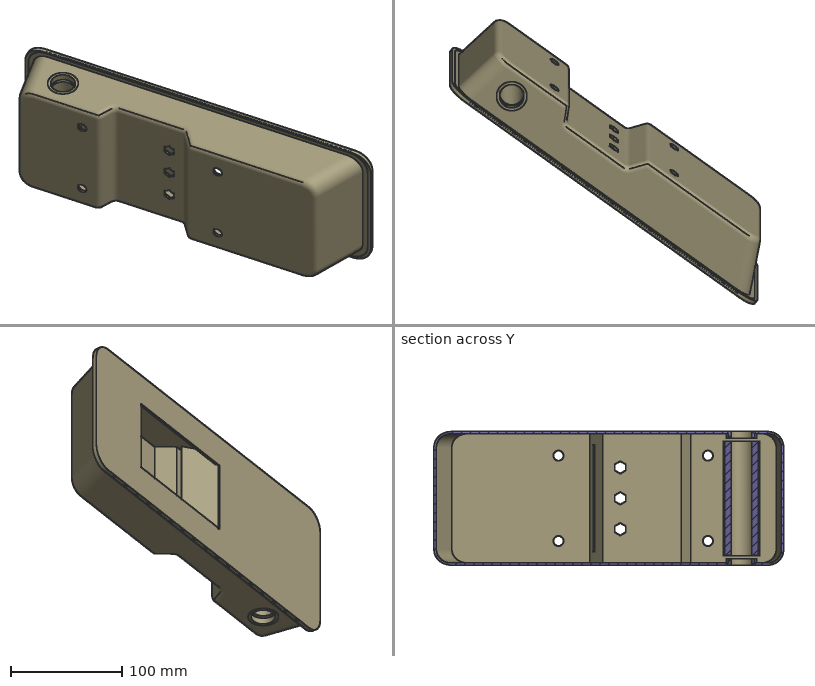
import cadquery as cq
import math

length = 343.0
height = 132.0
depth = 52.0
corner_radius = 18.0

cover_thickness = 2.0
rim_depth = 4.0
rim_width_x = 3.0
rim_width_z = 1.0

window_left = -17.0
window_right = 103.0
window_half_height = 34.5
tab_angle = 37.0
tab_length = 34.3
tab_half_height = 48.0

wall = 2.5
flange_front = 3.5
tub_half_height = 60.5
tub_corner_radius = 14.5
front_radius = 6.0
step_radius = 6.0
left_front = -156.0
right_front = 139.3
left_lean = 9.2
right_lean = 26.2

pocket_depth = 16.0
pocket_left = -75.8
pocket_right = 12.7
pocket_left_slope = 62.0
pocket_right_slope = 53.3

mount_hole_radius = 4.5
mount_hole_x = (-92.5, 42.0)
mount_hole_z = 38.5
hex_hole_diameter = 11.0
hex_hole_x = -13.7
hex_hole_pitch = 27.8

passage_x = -122.8
passage_y = -28.0
passage_radius = 11.0
bushing_radius = 13.7
bushing_length = 6.2
sleeve_radius = 16.5
sleeve_half_length = 51.5

front_y = -depth
pocket_y = front_y + pocket_depth
flange_thickness = flange_front - cover_thickness


def tub_outline(back_y):
    """Closed section of the tub in XY, with leaning end walls that reach back_y."""
    wall_run = back_y - front_y
    left_run = pocket_depth / math.tan(math.radians(pocket_left_slope))
    right_run = pocket_depth / math.tan(math.radians(pocket_right_slope))
    return cq.Workplane("XY").polyline([
        (left_front - wall_run * math.tan(math.radians(left_lean)), back_y),
        (left_front, front_y),
        (pocket_left, front_y),
        (pocket_left + left_run, pocket_y),
        (pocket_right - right_run, pocket_y),
        (pocket_right, front_y),
        (right_front, front_y),
        (right_front + wall_run * math.tan(math.radians(right_lean)), back_y),
    ]).close()


def round_end_walls(tub, radius):
    """Round the four leaning edges where the end walls meet the long sides."""
    end_edges = [
        edge for edge in tub.edges("not(|X or |Z)").vals()
        if not pocket_left <= edge.Center().x <= pocket_right
    ]
    return tub.newObject(end_edges).fillet(radius)


def make_tub_outside():
    """Solid outer form of the tub with all its rounded edges."""
    tub = tub_outline(0).extrude(tub_half_height, both=True)
    tub = round_end_walls(tub, tub_corner_radius)
    step_edges = [
        edge for edge in tub.edges("|Z").vals()
        if pocket_left - wall <= edge.Center().x <= pocket_right + wall
    ]
    tub = tub.newObject(step_edges).fillet(step_radius)
    return tub.faces("<Y").edges("|X and >Z").fillet(front_radius)


def make_tub_inside():
    """Cavity of the tub, one wall thickness inside it, with a sharp front edge."""
    section = tub_outline(wall).offset2D(-wall, "intersection")
    cavity = section.extrude(tub_half_height - wall, both=True)
    return round_end_walls(cavity, tub_corner_radius - wall)


def rounded_plate(size_x, size_z, radius, start, thickness):
    """Round-cornered plate in XZ whose rear face is at Y = -start."""
    plate = cq.Workplane("XZ", origin=(0, -start, 0)).rect(size_x, size_z).extrude(thickness)
    return plate.edges("|Y").fillet(radius)


def make_flange_plate():
    """Housing flange that fills the recess inside the rim of the cover."""
    return rounded_plate(
        length - 2 * rim_width_x,
        height - 2 * rim_width_z,
        corner_radius,
        cover_thickness,
        flange_thickness,
    )


def front_drill(points):
    """Workplane on the rear plane, facing forward, holding the given (x, z) points."""
    return cq.Workplane("XZ").pushPoints(points)


def passage_cylinder(radius, bottom, top):
    """Cylinder on the axis of the vertical passage."""
    base = cq.Workplane("XY", origin=(passage_x, passage_y, bottom))
    return base.circle(radius).extrude(top - bottom)


def make_housing():
    """Thin tub with a flange, front holes and a bore for each bushing."""
    tub = make_tub_outside().intersect(
        cq.Workplane("XY").box(length, depth, height).translate((0, -depth / 2 - cover_thickness, 0))
    )
    body = tub.union(make_flange_plate()).cut(make_tub_inside())
    mount_points = [(x, z) for x in mount_hole_x for z in (-mount_hole_z, mount_hole_z)]
    body = body.cut(front_drill(mount_points).circle(mount_hole_radius).extrude(depth))
    for row in (-1, 0, 1):
        hexagon = cq.Workplane("XZ", origin=(hex_hole_x, 0, row * hex_hole_pitch))
        hexagon = hexagon.transformed(rotate=(0, 0, 90)).polygon(6, hex_hole_diameter)
        body = body.cut(hexagon.extrude(depth))
    return body.cut(passage_cylinder(bushing_radius, -tub_half_height, tub_half_height))


def make_cover():
    """Rear plate with a raised rim, a window and a tab bent forward beside the window."""
    body = rounded_plate(length, height, corner_radius, 0, rim_depth)
    recess = rounded_plate(
        length - 2 * rim_width_x,
        height - 2 * rim_width_z,
        corner_radius,
        cover_thickness,
        rim_depth,
    )
    window = cq.Workplane("XY").box(
        window_right - window_left, 2 * cover_thickness, 2 * window_half_height
    ).translate(((window_left + window_right) / 2, -cover_thickness, 0))
    tab = cq.Workplane("XY").box(
        tab_length, cover_thickness, 2 * tab_half_height, centered=(False, False, True)
    ).rotate((0, 0, 0), (0, 0, 1), -tab_angle).translate((window_left, -cover_thickness, 0))
    return body.cut(recess).cut(window).union(tab)


def make_bushing(side):
    """Ring set flush in the upper (side = 1) or lower (side = -1) long wall."""
    ends = sorted((side * tub_half_height, side * (tub_half_height - bushing_length)))
    return passage_cylinder(bushing_radius, *ends).cut(passage_cylinder(passage_radius, *ends))


def make_sleeve():
    """Tube inside the tub, in line with both bushings."""
    ends = (-sleeve_half_length, sleeve_half_length)
    return passage_cylinder(sleeve_radius, *ends).cut(passage_cylinder(passage_radius, *ends))


housing = make_housing()
cover = make_cover()
bushings = [make_bushing(side) for side in (-1, 1)]
sleeve = make_sleeve()

result = cq.Compound.makeCompound([
    housing.val(),
    cover.val(),
    *[bushing.val() for bushing in bushings],
    sleeve.val(),
])